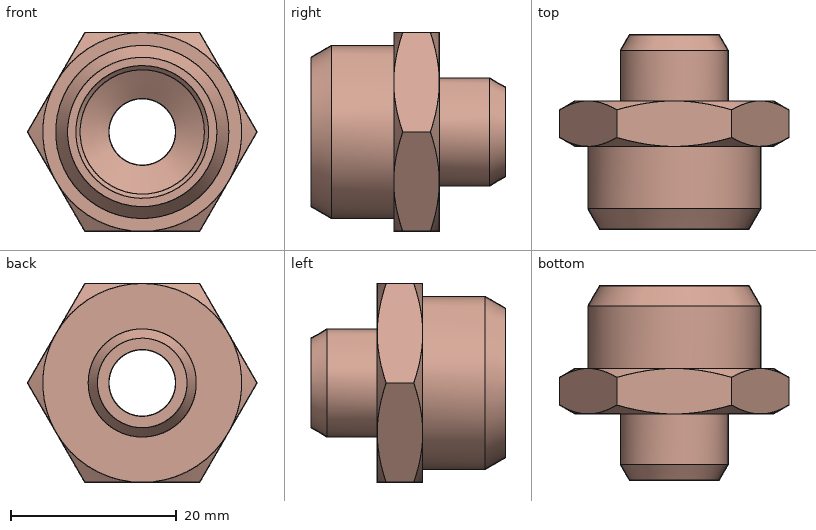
import cadquery as cq
import math

across_corners = 27.7
across_flats = across_corners * math.cos(math.radians(30))
hex_thickness = 5.5
front_length = 10.0
back_length = 8.0
front_diameter = 20.9
back_diameter = 13.05
bevel_angle = 30.0
bevel_slope = math.tan(math.radians(bevel_angle))

front_bevel_length = 2.5
back_bevel_length = 1.95

mouth_diameter = 16.02
wide_diameter = 15.0
hole_diameter = 8.0
mouth_depth = (mouth_diameter - wide_diameter) / 2
wide_depth = 11.65
cone_half_angle = 59.0

front_end = -front_length
back_end = hex_thickness + back_length


def revolved(profile):
    """Solid of revolution about Y from (radius, y) points."""
    return cq.Workplane("XY").polyline(profile).close().revolve(360, (0, 0, 0), (0, 1, 0))


def spigot(diameter, root, end, bevel_length):
    """Cylinder from root to end along Y, bevelled at its free end."""
    radius = diameter / 2
    bevel_start = end - math.copysign(bevel_length, end - root)
    end_radius = radius - bevel_length * bevel_slope
    return revolved([(0, root), (radius, root), (radius, bevel_start), (end_radius, end), (0, end)])


def hexagon():
    """Hexagon with corners on the X axis, both faces chamfered down to the flats."""
    prism = cq.Workplane("XZ").polygon(6, across_corners).extrude(-hex_thickness)
    face_radius = across_flats / 2
    corner_radius = across_corners / 2
    chamfer_depth = (corner_radius - face_radius) * bevel_slope
    envelope = revolved([
        (0, 0),
        (face_radius, 0),
        (corner_radius, chamfer_depth),
        (corner_radius, hex_thickness - chamfer_depth),
        (face_radius, hex_thickness),
        (0, hex_thickness),
    ])
    return prism.intersect(envelope)


def bore():
    """Stepped internal passage running right through the part."""
    mouth_end = front_end + mouth_depth
    cone_start = front_end + wide_depth
    cone_length = (wide_diameter - hole_diameter) / 2 / math.tan(math.radians(cone_half_angle))
    cone_end = cone_start + cone_length
    return revolved([
        (0, front_end),
        (mouth_diameter / 2, front_end),
        (wide_diameter / 2, mouth_end),
        (wide_diameter / 2, cone_start),
        (hole_diameter / 2, cone_end),
        (hole_diameter / 2, back_end),
        (0, back_end),
    ])


front_spigot = spigot(front_diameter, 0, front_end, front_bevel_length)
back_spigot = spigot(back_diameter, hex_thickness, back_end, back_bevel_length)
result = hexagon().union(front_spigot).union(back_spigot).cut(bore())